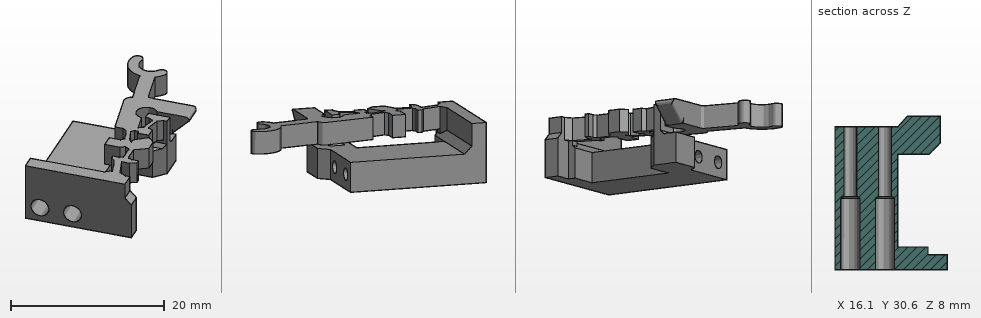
import cadquery as cq
import math

TOTAL_HEIGHT = 8.0
BASE_HEIGHT = 4.0
FLEXURE_THICKNESS = 3.0
FLEXURE_BOTTOM = TOTAL_HEIGHT - FLEXURE_THICKNESS
GAP = FLEXURE_BOTTOM - BASE_HEIGHT

BASE_WIDTH = 8.2
BASE_DEPTH = 18.6
PAD_RIGHT_X = 13.72
PAD_FRONT_Y = 15.0
PAD_BACK_Y = 19.98
PAD_CORNER = 1.5
PAD_BEVEL_END_X = 9.4
WALL_LENGTH = 14.6
WALL_DEPTH = 2.0
WALL_NOTCH_X = PAD_RIGHT_X
LEDGE_END_X = 12.13

HOLE_X = 2.02
HOLE_Z = 2.02
HOLE_SPACING = 4.5
BORE_RADIUS = 1.22
BORE_DEPTH = BASE_DEPTH / 2
THROUGH_RADIUS = 0.82
DRILL_POINT_ANGLE = 118.0

POST_LEFT_X = 10.72
POST_FRONT_Y = PAD_FRONT_Y + PAD_CORNER
POST_BACK_Y = 17.55
POST_FOOT = 0.52

ROOT_Y = 2.6
BAR_FRONT_Y = 5.1
BAR_SHOULDER_Y = 5.5
BAR_BACK_Y = 6.05
STRIKER_FRONT_Y = 8.4
STRIKER_BACK_Y = 10.17
LEVER_FRONT_Y = 12.92
LEAF_FLARE = 0.3
STRAIGHT_LEAF_LEFT_X = 11.3
STRAIGHT_LEAF_RIGHT_X = 11.95
TAB_LEFT_X = 11.03
TAB_RIGHT_X = 12.62
TAB_FRONT_Y = 12.45
TAB_BACK_Y = 13.8

LEVER_SLOPE = math.tan(math.radians(9.4))
LEVER_LEFT_X = 7.75
LEVER_RIGHT_X = 10.8
SHOULDER_START_Y = 19.35
SHOULDER_MIDDLE = (6.97, 20.32)
STEM_LEFT_X = 7.5
STEM_LEFT_Y = 20.62
STEM_RIGHT_X = 9.4
INNER_CORNER_RADIUS = 0.45
RELIEF_X = 10.5
RELIEF_Y = 17.57
RELIEF_RADIUS = 1.37
SIDE_ARM_FRONT_Y = 18.3
SIDE_ARM_BACK_Y = 21.23
SIDE_ARM_TIP_FOOT_X = 13.78
SIDE_ARM_TIP_RADIUS = 0.5

HOOK_X = 7.12
HOOK_Y = 29.0
HOOK_RADIUS = 2.35
HOOK_BAND = 1.47
HOOK_START_ANGLE = 159.5
HOOK_END_ANGLE = 324.0


def prism(points, bottom, top):
    """Upright solid from an XY outline between two heights."""
    return cq.Workplane("XY").workplane(offset=bottom).polyline(points).close().extrude(top - bottom)


def flexure(points):
    """Upright solid filling the flexure layer."""
    return prism(points, FLEXURE_BOTTOM, TOTAL_HEIGHT)


def base():
    """Base block and its side pad."""
    outline = [
        (0, 0),
        (BASE_WIDTH, 0),
        (BASE_WIDTH, PAD_FRONT_Y),
        (PAD_RIGHT_X - PAD_CORNER, PAD_FRONT_Y),
        (PAD_RIGHT_X, POST_FRONT_Y),
        (PAD_RIGHT_X, PAD_BACK_Y),
        (PAD_BEVEL_END_X, PAD_BACK_Y),
        (BASE_WIDTH, BASE_DEPTH),
        (0, BASE_DEPTH),
    ]
    return prism(outline, 0, BASE_HEIGHT)


def wall():
    """Front wall with a 45 degree notch at its upper right corner."""
    notch_top = FLEXURE_BOTTOM + WALL_LENGTH - WALL_NOTCH_X
    outline = [
        (0, 0),
        (WALL_LENGTH, 0),
        (WALL_LENGTH, FLEXURE_BOTTOM),
        (WALL_NOTCH_X, notch_top),
        (WALL_NOTCH_X, TOTAL_HEIGHT),
        (0, TOTAL_HEIGHT),
    ]
    return cq.Workplane("XZ").polyline(outline).close().extrude(-WALL_DEPTH)


def ledge():
    """Ledge behind the wall with a 45 degree upper slope."""
    outline = [
        (0, 0),
        (WALL_DEPTH + GAP, 0),
        (WALL_DEPTH + GAP, BASE_HEIGHT),
        (WALL_DEPTH, FLEXURE_BOTTOM),
        (0, FLEXURE_BOTTOM),
    ]
    return cq.Workplane("YZ").polyline(outline).close().extrude(LEDGE_END_X)


def mounting_hole(x):
    """Stepped hole that runs from the front face through the base."""
    cone_length = (BORE_RADIUS - THROUGH_RADIUS) / math.tan(math.radians(DRILL_POINT_ANGLE / 2))
    half_section = [
        (0, 0),
        (BORE_RADIUS, 0),
        (BORE_RADIUS, BORE_DEPTH),
        (THROUGH_RADIUS, BORE_DEPTH + cone_length),
        (THROUGH_RADIUS, BASE_DEPTH),
        (0, BASE_DEPTH),
    ]
    hole = cq.Workplane("XY").polyline(half_section).close().revolve(360, (0, 0), (0, 1))
    return hole.translate((x, 0, HOLE_Z))


def post():
    """Fixed post with a flared foot that is trimmed to the pad outline."""
    width = PAD_RIGHT_X - POST_LEFT_X
    depth = POST_BACK_Y - POST_FRONT_Y
    column = (
        cq.Workplane("XY")
        .box(width, depth, TOTAL_HEIGHT - BASE_HEIGHT, centered=False)
        .translate((POST_LEFT_X, POST_FRONT_Y, BASE_HEIGHT))
    )
    foot = (
        cq.Workplane("XY")
        .workplane(offset=BASE_HEIGHT)
        .center(PAD_RIGHT_X, (POST_FRONT_Y + POST_BACK_Y) / 2)
        .rect(2 * (width + POST_FOOT), depth + 2 * POST_FOOT)
        .extrude(POST_FOOT, taper=45)
    )
    pad_area = prism(
        [
            (BASE_WIDTH, PAD_FRONT_Y),
            (PAD_RIGHT_X - PAD_CORNER, PAD_FRONT_Y),
            (PAD_RIGHT_X, POST_FRONT_Y),
            (PAD_RIGHT_X, PAD_BACK_Y),
            (BASE_WIDTH, PAD_BACK_Y),
        ],
        BASE_HEIGHT,
        TOTAL_HEIGHT,
    )
    return column.union(foot.intersect(pad_area))


def wall_leaf():
    """Slanted leaf from the wall to the cross bar; its root runs down onto the ledge."""
    root_left = (10.15, WALL_DEPTH)
    leaf_left = (11.12, ROOT_Y)
    leaf = flexure(
        [
            root_left,
            leaf_left,
            (10.45, BAR_FRONT_Y),
            (11.45, BAR_FRONT_Y),
            (LEDGE_END_X, ROOT_Y),
            (13.08, WALL_DEPTH),
        ]
    )
    root = prism(
        [root_left, leaf_left, (LEDGE_END_X, ROOT_Y), (LEDGE_END_X, WALL_DEPTH)],
        BASE_HEIGHT,
        FLEXURE_BOTTOM,
    )
    return leaf.union(root)


def cross_bar():
    """Cross bar between the wall leaf and the straight leaf."""
    return flexure(
        [
            (10.45, BAR_FRONT_Y),
            (9.9, BAR_SHOULDER_Y),
            (9.9, BAR_BACK_Y),
            (10.78, BAR_BACK_Y),
            (STRAIGHT_LEAF_LEFT_X, BAR_BACK_Y + LEAF_FLARE),
            (STRAIGHT_LEAF_RIGHT_X, BAR_BACK_Y + LEAF_FLARE),
            (12.45, BAR_BACK_Y),
            (13.45, BAR_BACK_Y),
            (13.45, BAR_SHOULDER_Y),
            (12.55, BAR_FRONT_Y),
        ]
    )


def straight_leaf():
    """Leaf along Y between the cross bar and the striker."""
    front_y = BAR_BACK_Y + LEAF_FLARE
    return flexure(
        [
            (STRAIGHT_LEAF_LEFT_X, front_y),
            (STRAIGHT_LEAF_RIGHT_X, front_y),
            (STRAIGHT_LEAF_RIGHT_X, STRIKER_FRONT_Y),
            (STRAIGHT_LEAF_LEFT_X, STRIKER_FRONT_Y),
        ]
    )


def striker():
    """Block with a square left end and a pointed right end."""
    return flexure(
        [
            (7.97, STRIKER_FRONT_Y),
            (10.08, STRIKER_FRONT_Y),
            (10.65, 8.8),
            (STRAIGHT_LEAF_LEFT_X, STRIKER_FRONT_Y),
            (STRAIGHT_LEAF_RIGHT_X, STRIKER_FRONT_Y),
            (13.72, 9.38),
            (13.72, 11.05),
            (12.85, 11.95),
            (11.03, 10.63),
            (11.03, STRIKER_BACK_Y),
            (7.97, STRIKER_BACK_Y),
        ]
    )


def lever_leaf():
    """Slanted leaf from the striker to the lever, flared at both ends."""
    return flexure(
        [
            (9.53, STRIKER_BACK_Y),
            (9.95, 10.63),
            (9.47, 12.53),
            (8.92, LEVER_FRONT_Y),
            (10.48, LEVER_FRONT_Y),
            (10.08, 12.53),
            (10.6, 10.65),
            (11.03, STRIKER_BACK_Y),
        ]
    )


def post_leaf():
    """Leaf from the fixed post to the catch tab beside the lever."""
    return flexure(
        [
            (10.08, LEVER_FRONT_Y),
            (10.7, TAB_BACK_Y),
            (11.3, 14.15),
            (11.85, 16.1),
            (11.18, POST_FRONT_Y),
            (13.2, POST_FRONT_Y),
            (12.45, 16.1),
            (11.95, 14.15),
            (TAB_RIGHT_X, TAB_BACK_Y),
            (TAB_RIGHT_X, TAB_FRONT_Y),
            (TAB_LEFT_X, TAB_FRONT_Y),
            (TAB_LEFT_X, LEVER_FRONT_Y),
        ]
    )


def lean(point, y):
    """Point at depth y on the slanted line of the lever through a given point."""
    return (point[0] - (y - point[1]) * LEVER_SLOPE, y)


def lever():
    """Lever and stem, up to the hook, with the square part of the side arm."""
    left_front = (LEVER_LEFT_X, LEVER_FRONT_Y)
    right_front = (LEVER_RIGHT_X, LEVER_FRONT_Y)
    stem_left = (STEM_LEFT_X, STEM_LEFT_Y)
    stem_right = (STEM_RIGHT_X, SIDE_ARM_BACK_Y)
    stem_end_y = HOOK_Y - HOOK_RADIUS
    body = (
        cq.Workplane("XY")
        .workplane(offset=FLEXURE_BOTTOM)
        .moveTo(*left_front)
        .lineTo(*right_front)
        .lineTo(*lean(right_front, SIDE_ARM_FRONT_Y))
        .lineTo(SIDE_ARM_TIP_FOOT_X, SIDE_ARM_FRONT_Y)
        .lineTo(SIDE_ARM_TIP_FOOT_X, SIDE_ARM_BACK_Y)
        .lineTo(*stem_right)
        .lineTo(*lean(stem_right, stem_end_y))
        .lineTo(*lean(stem_left, stem_end_y))
        .lineTo(*stem_left)
        .threePointArc(SHOULDER_MIDDLE, lean(left_front, SHOULDER_START_Y))
        .close()
        .extrude(FLEXURE_THICKNESS)
    )
    inner_corner = cq.selectors.NearestToPointSelector((*stem_right, FLEXURE_BOTTOM + FLEXURE_THICKNESS / 2))
    body = body.edges("|Z").edges(inner_corner).fillet(INNER_CORNER_RADIUS)
    relief = (
        cq.Workplane("XY")
        .workplane(offset=FLEXURE_BOTTOM)
        .center(RELIEF_X, RELIEF_Y)
        .circle(RELIEF_RADIUS)
        .extrude(FLEXURE_THICKNESS)
    )
    return body.cut(relief)


def side_arm_tip():
    """Undercut end of the side arm, rounded along the edges of its 45 degree face."""
    inner_x = SIDE_ARM_TIP_FOOT_X - FLEXURE_THICKNESS / 2
    outline = [
        (inner_x, FLEXURE_BOTTOM),
        (SIDE_ARM_TIP_FOOT_X, FLEXURE_BOTTOM),
        (SIDE_ARM_TIP_FOOT_X + FLEXURE_THICKNESS, TOTAL_HEIGHT),
        (inner_x, TOTAL_HEIGHT),
    ]
    tip = (
        cq.Workplane("XZ", origin=(0, SIDE_ARM_FRONT_Y, 0))
        .polyline(outline)
        .close()
        .extrude(SIDE_ARM_FRONT_Y - SIDE_ARM_BACK_Y)
    )
    return tip.faces(">(1, 0, -1)").edges("not(<Z)").fillet(SIDE_ARM_TIP_RADIUS)


def hook_point(radius, angle):
    """Point around the hook centre at an angle in degrees."""
    turn = math.radians(angle)
    return (HOOK_X + radius * math.cos(turn), HOOK_Y + radius * math.sin(turn))


def hook():
    """Open ring band with round ends."""
    inner = HOOK_RADIUS - HOOK_BAND / 2
    outer = HOOK_RADIUS + HOOK_BAND / 2
    middle_angle = (HOOK_START_ANGLE + HOOK_END_ANGLE) / 2
    cap_angle = math.degrees(HOOK_BAND / 2 / HOOK_RADIUS)
    return (
        cq.Workplane("XY")
        .workplane(offset=FLEXURE_BOTTOM)
        .moveTo(*hook_point(inner, HOOK_START_ANGLE))
        .threePointArc(hook_point(inner, middle_angle), hook_point(inner, HOOK_END_ANGLE))
        .threePointArc(
            hook_point(HOOK_RADIUS, HOOK_END_ANGLE + cap_angle),
            hook_point(outer, HOOK_END_ANGLE),
        )
        .threePointArc(hook_point(outer, middle_angle), hook_point(outer, HOOK_START_ANGLE))
        .threePointArc(
            hook_point(HOOK_RADIUS, HOOK_START_ANGLE - cap_angle),
            hook_point(inner, HOOK_START_ANGLE),
        )
        .close()
        .extrude(FLEXURE_THICKNESS)
    )


result = base().union(wall()).union(ledge())
for hole_number in range(2):
    result = result.cut(mounting_hole(HOLE_X + hole_number * HOLE_SPACING))

upper_parts = [
    post(),
    wall_leaf(),
    cross_bar(),
    straight_leaf(),
    striker(),
    lever_leaf(),
    post_leaf(),
    lever(),
    side_arm_tip(),
    hook(),
]
for part in upper_parts:
    result = result.union(part)
result = result.clean()